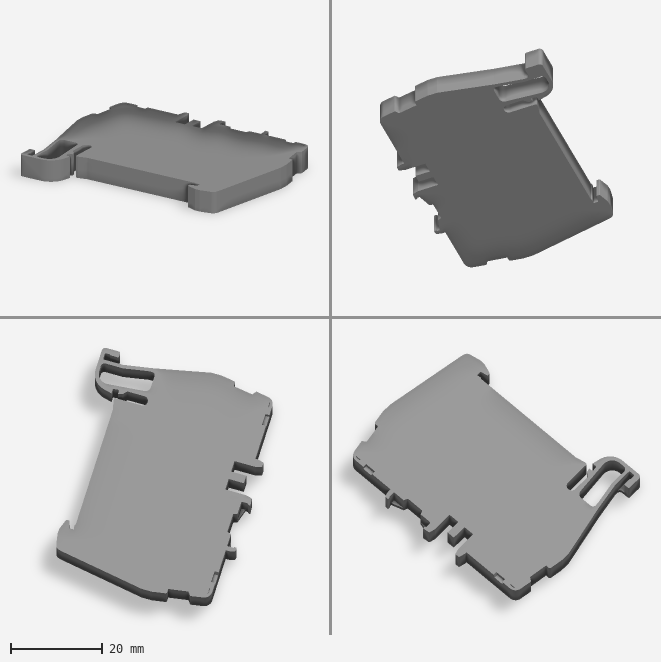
import cadquery as cq
import math

length = 53.3
height = 41.7
thickness = 5.0
half_length = length / 2
top_y = height / 2
bottom_y = -height / 2

shoulder_y = 18.7
tab_top_y = 20.7
tab_base_y = 19.25
tongue_top_y = 17.95
trough_y = 17.8
notch_floor_y = 14.5
rail_y = -14.5
catch_y = -15.9
hook_top_y = -16.8
cavity_y = -20.0

tab_left_x = -9.95
notch_left_x = -8.1
tongue_left_x = -5.55
tongue_right_x = -3.7
notch_right_x = -1.1
latch_left_x = 0.65
latch_right_x = 11.55
trough_left_x = 3.6
trough_right_x = 8.65
rail_slot_left_x = -17.1
rail_slot_right_x = -14.85
hook_left_x = -25.65
arm_outer_x = -22.85

rail_slot_top_y = -7.75
rail_slot_radius = 1.05
web_thickness = 1.0
web_rise = 0.9
web_overlap = 0.25
hook_wall = 1.45
hook_web_fillet = 0.85
hook_web_rise = 1.05
recess_depth = 1.0
recess_back_y = trough_y
recess_outer_x = 20.7
recess_inner_x = 18.05
recess_slope_run = 0.3
slit_depth = 0.5
slit_outer_x = 23.65
slit_inner_x = 22.15
slit_width = 0.25
slit_y = 17.85


def rounded_wire(corners):
    """Closed outline through (x, y, radius) corners; radius 0 keeps a corner sharp."""
    ends = []
    for i, (x, y, radius) in enumerate(corners):
        point = cq.Vector(x, y)
        before = (cq.Vector(*corners[i - 1][:2]) - point).normalized()
        after = (cq.Vector(*corners[(i + 1) % len(corners)][:2]) - point).normalized()
        if radius == 0:
            ends.append((point, None, point))
            continue
        half_angle = before.getAngle(after) / 2
        setback = radius / math.tan(half_angle)
        to_arc = radius / math.sin(half_angle) - radius
        middle = point + (before + after).normalized() * to_arc
        ends.append((point + before * setback, middle, point + after * setback))
    outline = cq.Workplane("XY").moveTo(*ends[0][2].toTuple()[:2])
    for start, middle, end in ends[1:] + ends[:1]:
        outline = outline.lineTo(*start.toTuple()[:2])
        if middle is not None:
            outline = outline.threePointArc(middle.toTuple()[:2], end.toTuple()[:2])
    return outline.close()


def mirrored(corners):
    """Corners reflected in the YZ plane, in reverse order to keep the walking direction."""
    return [(-x, y, radius) for x, y, radius in reversed(corners)]


left_flank = [
    (-half_length, 3.7, 0),
    (-half_length, 5.95, 0),
    (-26.1, 9.3, 0.35),
    (-25.0, 9.3, 0),
    (-24.3, 13.7, 0.2),
    (-25.2, 14.35, 0.2),
    (-24.45, shoulder_y, 1.8),
]

tab_and_notch = [
    (tab_left_x, shoulder_y, 0),
    (tab_left_x, tab_base_y, 0),
    (-9.6, tab_top_y, 0.25),
    (-8.5, tab_top_y, 0.25),
    (notch_left_x, tab_base_y, 0),
    (notch_left_x, notch_floor_y, 0),
    (tongue_left_x, notch_floor_y, 0),
    (tongue_left_x, tongue_top_y, 0),
    (tongue_right_x, tongue_top_y, 0),
    (tongue_right_x, notch_floor_y, 0),
    (notch_right_x, notch_floor_y, 0),
]

latches_and_trough = [
    (notch_right_x, tab_base_y, 0),
    (-0.75, tab_top_y, 0.25),
    (0.95, top_y, 0),
    (0.95, 20.4, 0),
    (latch_left_x, 20.15, 0),
    (latch_left_x, shoulder_y, 0.25),
    (trough_left_x, shoulder_y, 0),
    (3.95, trough_y, 0.2),
    (8.3, trough_y, 0.2),
    (trough_right_x, shoulder_y, 0),
    (latch_right_x, shoulder_y, 0),
    (latch_right_x, 20.25, 0),
    (11.35, 20.25, 0),
    (11.35, top_y, 0),
    (12.3, top_y, 0.55),
    (12.65, 19.45, 0),
    (12.65, shoulder_y, 0),
]

fixed_foot = [
    (23.2, -15.55, 0),
    (22.8, -17.05, 1.3),
    (19.4, -17.7, 1.05),
    (18.2, -17.65, 0.25),
    (15.7, -16.8, 0.2),
    (15.7, -16.05, 0),
    (17.5, -15.65, 0),
    (17.5, rail_y, 0),
    (16.95, -14.65, 0),
    (16.35, -14.65, 0),
    (16.2, rail_y, 0),
]

rail_and_slot = [
    (-12.05, rail_y, 0),
    (-14.25, -15.0, 0),
    (rail_slot_right_x, -15.0, 0.2),
    (rail_slot_right_x, rail_slot_top_y, rail_slot_radius),
    (rail_slot_left_x, rail_slot_top_y, rail_slot_radius),
    (rail_slot_left_x, -12.65, 0),
    (-16.6, -13.2, 0),
    (-16.2, -13.5, 0),
    (-15.95, rail_y, 0),
    (-16.95, rail_y, 0.25),
    (-16.8, catch_y, 0),
]

spring_arm = [
    (-15.65, catch_y, 0),
    (-16.9, bottom_y, 4.1),
    (hook_left_x, bottom_y, 0.8),
    (hook_left_x, hook_top_y, 0.35),
    (hook_left_x + hook_wall, hook_top_y, 0.25),
    (-24.25, -18.65, 0),
    (-24.4, -18.85, 0),
    (-24.4, cavity_y, 0.3),
    (arm_outer_x, cavity_y, 0.3),
    (arm_outer_x, -15.45, 0),
    (-24.0, -8.85, 0),
]

body = rounded_wire(
    left_flank
    + tab_and_notch
    + latches_and_trough
    + mirrored(left_flank)
    + fixed_foot
    + rail_and_slot
    + spring_arm
).extrude(thickness)

window = rounded_wire([
    (-23.15, -8.05, 0.8),
    (-23.0, -9.7, 0),
    (-22.05, -15.15, 0),
    (-22.05, cavity_y, 0.85),
    (-17.4, cavity_y, 2.45),
    (-17.65, -16.25, 0),
    (-18.4, -8.05, 1.2),
]).extrude(thickness)
body = body.cut(window)

hook_web_left_x = hook_left_x + hook_wall / 2
hook_web_right_x = arm_outer_x + web_overlap
hook_web = rounded_wire([
    (hook_web_left_x, hook_top_y, 0),
    (arm_outer_x, hook_top_y, hook_web_fillet),
    (arm_outer_x, hook_top_y + hook_web_rise, 0),
    (hook_web_right_x, hook_top_y + hook_web_rise, 0),
    (hook_web_right_x, cavity_y - web_overlap, 0),
    (hook_web_left_x, cavity_y - web_overlap, 0),
]).extrude(web_thickness)
body = body.union(hook_web)


def latch_web(latch_x, trough_x):
    """Thin triangular gusset at the back, sloping from a latch down to the trough."""
    return (
        cq.Workplane("XY")
        .polyline([
            (trough_x, shoulder_y),
            (latch_x, shoulder_y + web_rise),
            (latch_x, shoulder_y),
        ])
        .close()
        .extrude(web_thickness)
    )


def rim_recess():
    """Recess in the +Y edge of the right shoulder, its inner end wall sloping down and outward."""
    return (
        cq.Workplane("XZ", origin=(0, recess_back_y, 0))
        .polyline([
            (recess_outer_x, thickness),
            (recess_outer_x, thickness - recess_depth),
            (recess_inner_x + recess_slope_run, thickness - recess_depth),
            (recess_inner_x, thickness),
        ])
        .close()
        .extrude(recess_back_y - top_y)
    )


def corner_slit():
    """Shallow slit in the upper face: a flat lower edge under a shallow arc."""
    return (
        cq.Workplane("XY", origin=(0, slit_y, thickness))
        .moveTo(slit_inner_x, 0)
        .threePointArc(((slit_inner_x + slit_outer_x) / 2, slit_width), (slit_outer_x, 0))
        .close()
        .extrude(-slit_depth)
    )


body = body.union(latch_web(latch_left_x, trough_left_x))
body = body.union(latch_web(latch_right_x, trough_right_x))

for pocket in (rim_recess(), corner_slit()):
    body = body.cut(pocket).cut(pocket.mirror("YZ"))

result = body